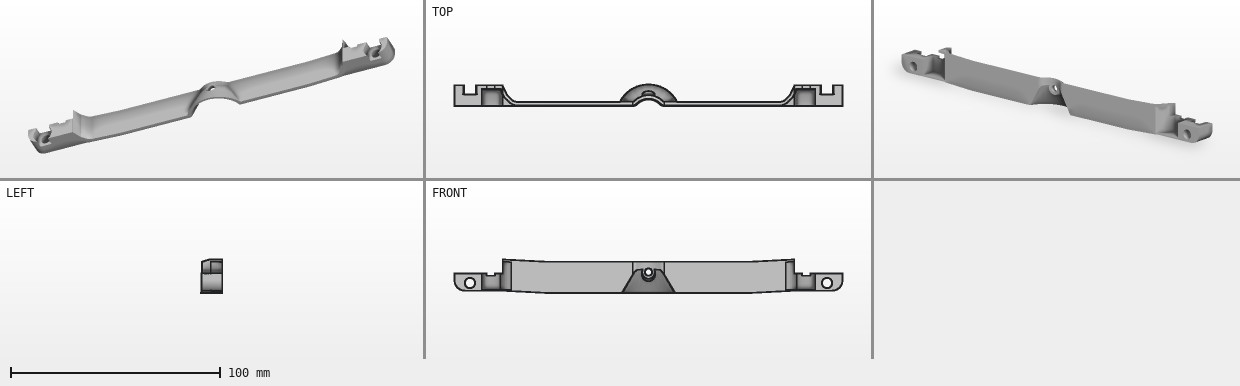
import cadquery as cq
import math

half_length = 92.5
wall = 2.0
strip_height = 15.0
end_rise = 1.1
rise_start = 48.5
bevel_drop = 1.1
bevel_width = 1.7
oversize = 37.0

mount_length = 23.0
mount_depth = 10.0
mount_height = 8.3
mount_floor = 0.5
mount_corner_radius = 5.0
bolt_from_end = 7.4
bolt_height = 3.7
bolt_radius = 2.4
nut_slot_width = 6.5
nut_radius = 4.6
nut_face = 5.5
tray_from_end = 13.1
tray_back = 8.3
notch_from_end = 15.4
notch_width = 3.9
notch_depth = 1.1

elbow_foot = 27.0
elbow_inner_low = (25.0, 2.0)
elbow_inner_high = (24.0, 3.3)
elbow_inner_top = (21.8, 7.8)
elbow_outer_top = 9.8
elbow_outer_knee = (25.2, 5.2)
elbow_bend = 1.7
roof_thickness = 1.1
lining = 0.5

bridge_half = 7.5
arch_half = 5.4
arch_angle = math.radians(45)
seam_top = 8.7
seam_foot = 12.8

hood_outer_axis_y = -5.0
hood_outer_radius = 15.4
hood_outer_taper = 0.45
hood_inner_axis_y = -3.9
hood_inner_radius = 13.0
hood_inner_taper = 0.52
flare_height = 1.1
flare_growth = 0.7

screw_height = 10.0
screw_radius = 1.7
seat_radius = 3.0
boss_radius = 3.1
boss_taper = 0.4

mount_inner_x = half_length - mount_length
mount_bottom = end_rise
mount_top = mount_bottom + mount_height
fillet_radius = (bridge_half - arch_half) / math.sin(arch_angle)
arch_radius = arch_half / math.sin(arch_angle)
arch_center_y = fillet_radius - (fillet_radius + arch_radius) * math.cos(arch_angle)
arch_front_y = arch_center_y + arch_radius
arch_rear_y = arch_front_y + wall
elbow_lean = (elbow_inner_high[0] - elbow_inner_top[0]) / (elbow_inner_top[1] - elbow_inner_high[1])
elbow_at_mount_y = elbow_inner_high[1] + (elbow_inner_high[0] - mount_length) / elbow_lean
lining_shift = lining * math.sqrt(1 + elbow_lean**2)
lining_corner_x = elbow_inner_top[0] + lining_shift - lining * elbow_lean
lining_at_mount_y = tray_back - (mount_length - lining_corner_x) / elbow_lean


def from_end(distance):
    """X of a point on the right half, given its distance from the part's end."""
    return half_length - distance


def end_point(point):
    """Plan position of a (distance from end, Y) pair."""
    return (from_end(point[0]), point[1])


def block(x_range, y_range, z_range):
    """Axis-aligned box given by its limits."""
    size = [high - low for low, high in (x_range, y_range, z_range)]
    return cq.Workplane("XY").box(*size, centered=False).translate((x_range[0], y_range[0], z_range[0]))


def cylinder_along_y(x, z, radius, y_start, y_end):
    """Solid cylinder with its axis along Y."""
    return (
        cq.Workplane("XZ", origin=(x, y_start, z))
        .circle(radius)
        .extrude(y_start - y_end)
    )


def mirrored(point):
    """Plan point on the other side of the mirror plane."""
    return (-point[0], point[1])


def right_or_left(body, side):
    """Keep a right-hand body for side 1, mirror it for side -1."""
    return body if side > 0 else body.mirror("YZ")


def elbow_corner(bottom, top):
    """Triangular plate that fills the corner in front of the elbow."""
    return (
        cq.Workplane("XY", origin=(0, 0, bottom))
        .polyline([
            (from_end(elbow_foot), 0),
            (mount_inner_x, 0),
            (mount_inner_x, elbow_at_mount_y),
            end_point(elbow_inner_high),
            end_point(elbow_inner_low),
        ])
        .close()
        .extrude(top - bottom)
    )


def make_notch():
    """Cutter for the notch in the tray's rear wall."""
    right = from_end(notch_from_end)
    return block(
        (right - notch_width, right),
        (elbow_inner_top[1], mount_depth),
        (mount_top - notch_depth, mount_top),
    )


def make_mount(side):
    body = block((mount_inner_x, half_length), (0, mount_depth), (mount_bottom, mount_top))
    body = body.edges("|Y and >X and <Z").fillet(mount_corner_radius)

    tray = (
        cq.Workplane("XY", origin=(0, 0, mount_bottom + mount_floor))
        .polyline([
            (from_end(tray_from_end), 0),
            (from_end(tray_from_end), tray_back),
            (from_end(lining_corner_x), tray_back),
            (mount_inner_x, lining_at_mount_y),
            (mount_inner_x, 0),
        ])
        .close()
        .extrude(mount_height)
    )
    floor = elbow_corner(mount_bottom, mount_bottom + mount_floor)

    bolt_x = from_end(bolt_from_end)
    bolt_z = mount_bottom + bolt_height
    bolt_hole = cylinder_along_y(bolt_x, bolt_z, bolt_radius, 0, mount_depth)
    nut_seat = cylinder_along_y(bolt_x, bolt_z, nut_radius, nut_face, mount_depth)
    nut_slot = block(
        (bolt_x - nut_slot_width / 2, bolt_x + nut_slot_width / 2),
        (nut_face, oversize),
        (bolt_z, oversize),
    )
    body = body.cut(tray).union(floor).cut(make_notch()).cut(bolt_hole).cut(nut_seat).cut(nut_slot)
    return right_or_left(body, side)


def side_profile(lower, upper):
    """Slab between two heights above the strip's underside, climbing towards the end."""
    return (
        cq.Workplane("XZ")
        .polyline([
            (0, lower),
            (rise_start, lower),
            (mount_inner_x, lower + end_rise),
            (mount_inner_x, upper + end_rise),
            (rise_start, upper),
            (0, upper),
        ])
        .close()
        .extrude(-oversize)
    )


def bevel_rear_edges(body, points):
    """Slope a wall's top down towards the rear, along the edge nearest to each point."""
    edges = [body.edges(cq.selectors.NearestToPointSelector(point)).val() for point in points]
    solid = body.solids().val()
    return cq.Workplane(obj=solid.chamfer(bevel_width, bevel_drop, edges))


def make_seam_cutter():
    """Trapezoid between the two sloping seams, through the wall."""
    return (
        cq.Workplane("XZ")
        .polyline([
            (-seam_foot, 0),
            (seam_foot, 0),
            (bridge_half, seam_top),
            (-bridge_half, seam_top),
        ])
        .close()
        .extrude(-wall)
    )


def make_band_wall():
    """Right-hand wall from the bridge to the mount, bevelled along its rear top edge."""
    knee_x, knee_y = end_point(elbow_outer_knee)
    corner_x = knee_x - (knee_y - wall)
    bend_start = (
        corner_x + elbow_bend * math.cos(math.pi / 4),
        wall + elbow_bend * math.sin(math.pi / 4),
    )
    plan = (
        cq.Workplane("XY")
        .moveTo(bridge_half, 0)
        .lineTo(from_end(elbow_foot), 0)
        .lineTo(*end_point(elbow_inner_low))
        .lineTo(*end_point(elbow_inner_high))
        .lineTo(mount_inner_x, elbow_at_mount_y)
        .lineTo(mount_inner_x, elbow_outer_top)
        .lineTo(knee_x, knee_y)
        .lineTo(*bend_start)
        .tangentArcPoint((corner_x - elbow_bend, wall), relative=False)
        .lineTo(bridge_half, wall)
        .close()
        .extrude(oversize)
    )
    body = plan.intersect(side_profile(0, strip_height))

    rear_points = [
        ((bridge_half + rise_start) / 2, wall, strip_height),
        ((rise_start + corner_x) / 2, wall, strip_height + end_rise / 2),
        (corner_x, wall, strip_height + end_rise),
        ((bend_start[0] + knee_x) / 2, (bend_start[1] + knee_y) / 2, strip_height + end_rise),
        ((knee_x + mount_inner_x) / 2, (knee_y + elbow_outer_top) / 2, strip_height + end_rise),
    ]
    return bevel_rear_edges(body, rear_points)


def make_lining():
    """Thin tail of the band along the rear of the tray."""
    tip_x = from_end(tray_from_end)
    return (
        cq.Workplane("XY", origin=(0, 0, mount_bottom + mount_floor))
        .polyline([
            (tip_x, tray_back),
            (tip_x, elbow_inner_top[1]),
            end_point(elbow_inner_top),
            (mount_inner_x, elbow_at_mount_y),
            (mount_inner_x, lining_at_mount_y),
            (from_end(lining_corner_x), tray_back),
        ])
        .close()
        .extrude(mount_height - mount_floor)
        .cut(make_notch())
    )


def make_band(side):
    corner = elbow_corner(0, strip_height + end_rise)
    roof = corner.intersect(side_profile(strip_height - roof_thickness, strip_height))
    body = make_band_wall().union(roof).union(make_lining())
    body = body.cut(make_seam_cutter())
    return right_or_left(body, side)


def arch_outline(offset):
    """Open plan curve of the arch, right to left, at a given offset behind its front face."""
    radius = arch_radius + offset
    bend = fillet_radius - offset
    half_angle = arch_angle / 2
    end = (bridge_half, offset)
    bend_middle = (bridge_half - bend * math.sin(half_angle), fillet_radius - bend * math.cos(half_angle))
    reversal = (radius * math.sin(arch_angle), arch_center_y + radius * math.cos(arch_angle))
    crown = (0, arch_center_y + radius)
    return (
        cq.Workplane("XY")
        .moveTo(*end)
        .threePointArc(bend_middle, reversal)
        .threePointArc(crown, mirrored(reversal))
        .threePointArc(mirrored(bend_middle), mirrored(end))
    )


def make_arch_hollow():
    """Space in front of the arch."""
    return arch_outline(0).close().extrude(strip_height)


def make_arch():
    """Arched wall of constant thickness, bevelled along its rear top edge."""
    filled = (
        arch_outline(wall)
        .lineTo(-bridge_half, 0)
        .lineTo(bridge_half, 0)
        .close()
        .extrude(strip_height)
    )
    body = filled.cut(make_arch_hollow())
    bend_x = (bridge_half + arch_half) / 2
    rear_points = [
        (-bend_x, wall, strip_height),
        (0, arch_rear_y, strip_height),
        (bend_x, wall, strip_height),
    ]
    return bevel_rear_edges(body, rear_points)


def make_cone(axis_y, base_radius, taper, height):
    """Upright cone standing on Z = 0."""
    top_radius = base_radius - taper * height
    solid = cq.Solid.makeCone(base_radius, top_radius, height, pnt=cq.Vector(0, axis_y, 0))
    return cq.Workplane(obj=solid)


def make_hood_cavity():
    """Hollow under the hood: a cone with a flared foot, less the boss around the screw."""
    throat_radius = hood_inner_radius - hood_inner_taper * flare_height
    flare_taper = flare_growth / flare_height
    hollow = make_cone(hood_inner_axis_y, hood_inner_radius, hood_inner_taper, strip_height)
    flare = make_cone(hood_inner_axis_y, throat_radius + flare_growth, flare_taper, flare_height)
    boss_start = boss_radius - boss_taper * arch_front_y
    boss = cq.Solid.makeCone(
        boss_start,
        boss_start + boss_taper * mount_depth,
        mount_depth,
        pnt=cq.Vector(0, 0, screw_height),
        dir=cq.Vector(0, 1, 0),
    )
    return hollow.union(flare).cut(cq.Workplane(obj=boss))


def make_bridge():
    arch = make_arch()
    arch_span = block((-bridge_half, bridge_half), (0, wall), (0, strip_height))
    cheeks = make_seam_cutter().cut(arch_span)
    behind_wall = block((-oversize, oversize), (wall, oversize), (0, strip_height - bevel_drop))
    hood = make_cone(hood_outer_axis_y, hood_outer_radius, hood_outer_taper, strip_height)
    hood = hood.intersect(behind_wall)
    screw_hole = cylinder_along_y(0, screw_height, screw_radius, 0, mount_depth)
    seat = cylinder_along_y(0, screw_height, seat_radius, arch_rear_y, mount_depth)
    body = arch.union(cheeks).union(hood).cut(make_arch_hollow())
    return body.cut(make_hood_cavity()).cut(screw_hole).cut(seat)


mounts = [make_mount(side) for side in (-1, 1)]
bands = [make_band(side) for side in (-1, 1)]
bridge = make_bridge()
result = cq.Compound.makeCompound([
    *[mount.solids().val() for mount in mounts],
    *[band.solids().val() for band in bands],
    bridge.solids().val(),
])